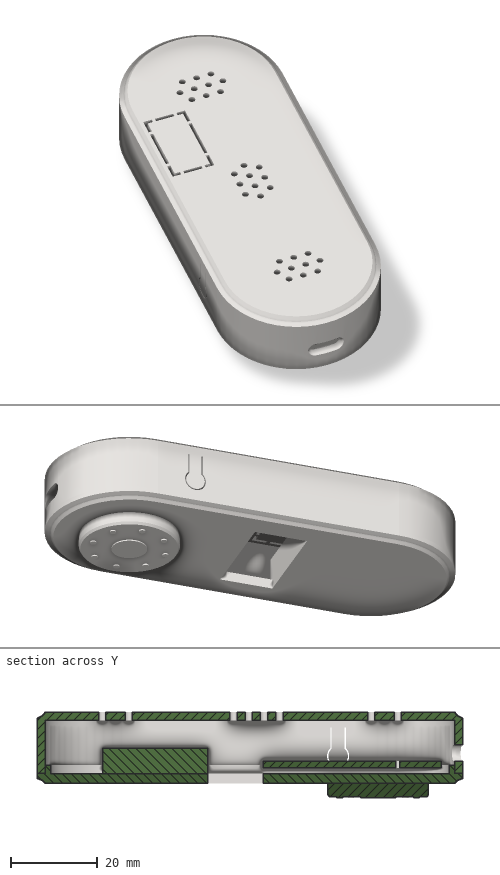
import cadquery as cq
import math

length = 98.0
width = 39.0
total_height = 19.9
end_radius = width / 2
straight_length = length - width

foot_height = 3.3
lid_height = 2.4
lid_bottom = foot_height
lid_top = lid_bottom + lid_height
housing_height = total_height - lid_top

bevel_inset = 2.0
bevel_mid_inset = 1.1
top_bevel_height = 1.5
top_bevel_mid_height = 0.93

lid_bevel_height = 1.2
lid_bevel_mid_height = 0.7
lid_bevel_mid_inset = 1.3

wall = 2.0
top_thickness = 2.0
cavity_height = housing_height - top_thickness

grille_hole_diameter = 1.6
grille_pitch = 3.5
grille_row_spacing = grille_pitch * math.sqrt(3) / 2
grille_row_counts = (3, 4, 3)
side_grille_x = 31.0
centre_grille_x = 1.5

window_x = -15.8
window_y = -11.5
window_length = 18.8
window_width = 10.3
window_slit = 0.8
bridge_width = 0.8
bridge_offset_x = 5.5
bridge_offset_y = 2.6

tongue_x = 20.3
tongue_slit = 0.3
tongue_neck_width = 3.5
tongue_pad_radius = 2.5
tongue_pad_z = total_height - 10.2
tongue_top_z = total_height - 3.6

connector_width = 8.8
connector_height = 3.7
connector_z = total_height - 9.5

lip_thickness = 1.2
lip_height = 2.0
opening_x_min = -9.7
opening_x_max = 3.0
opening_width = 23.7

foot_x = straight_length / 2
foot_radius = 11.7
foot_bevel_inset = 0.4
foot_bevel_height = 0.6
foot_face_z = 0.3
foot_centre_pad_diameter = 8.2
foot_pad_diameter = 1.5
foot_pad_count = 8
foot_pad_circle_radius = 8.8

battery_x_min = -34.0
battery_width = 26.1
battery_height = 5.9
board_x_max = 44.1
board_width = 11.0
board_thickness = 1.6
board_hole_diameter = 0.9


def stadium(inset, z):
    """Closed stadium wire, moved inward from the outer outline, at height z."""
    return cq.Workplane("XY", origin=(0, 0, z)).slot2D(length - 2 * inset, width - 2 * inset)


def stadium_block(inset, z, height):
    return stadium(inset, z).extrude(height)


def stadium_taper(lower_inset, upper_inset, z, height):
    """Stadium block whose side slopes from one inset to another."""
    slope = math.degrees(math.atan2(upper_inset - lower_inset, height))
    return stadium(lower_inset, z).extrude(height, taper=slope)


def grille_cutter(x, rows_along_y):
    """Round hole cutters of one grille centred at (x, 0)."""
    points = []
    for row, count in enumerate(grille_row_counts):
        across = (row - (len(grille_row_counts) - 1) / 2) * grille_row_spacing
        for i in range(count):
            along = (i - (count - 1) / 2) * grille_pitch
            points.append((x + across, along) if rows_along_y else (x + along, across))
    return (
        cq.Workplane("XY", origin=(0, 0, total_height - top_thickness))
        .pushPoints(points)
        .circle(grille_hole_diameter / 2)
        .extrude(top_thickness)
    )


def window_cutter():
    """Rectangular slit through the top, interrupted by two bridges per side."""
    plane = cq.Workplane("XY", origin=(window_x, window_y, total_height - top_thickness))
    slit = (
        plane.rect(window_length, window_width)
        .rect(window_length - 2 * window_slit, window_width - 2 * window_slit)
        .extrude(top_thickness)
    )
    for side in (-1, 1):
        across = plane.center(side * bridge_offset_x, 0).rect(bridge_width, window_width)
        slit = slit.cut(across.extrude(top_thickness))
        along = plane.center(0, side * bridge_offset_y).rect(window_length, bridge_width)
        slit = slit.cut(along.extrude(top_thickness))
    return slit


def keyhole(neck_width, pad_radius):
    """Keyhole prism through the full width of the housing."""
    neck_length = tongue_top_z - tongue_pad_z
    plane = cq.Workplane("XZ", origin=(tongue_x, end_radius, tongue_pad_z))
    neck = plane.center(0, neck_length / 2).rect(neck_width, neck_length).extrude(width)
    return neck.union(plane.circle(pad_radius).extrude(width))


def tongue_cutter():
    """Slit around the tongue, open at the top so that the tongue stays attached there."""
    outside = keyhole(tongue_neck_width, tongue_pad_radius)
    inside = keyhole(tongue_neck_width - 2 * tongue_slit, tongue_pad_radius - tongue_slit)
    return outside.cut(inside)


def connector_cutter():
    return (
        cq.Workplane("YZ", origin=(length / 2 - 2 * wall, 0, connector_z))
        .slot2D(connector_width, connector_height)
        .extrude(2 * wall)
    )


def make_housing():
    bevel_bottom = total_height - top_bevel_height
    bevel_middle = total_height - top_bevel_mid_height
    body = stadium_block(0, lid_top, bevel_bottom - lid_top)
    body = body.union(stadium_taper(0, bevel_mid_inset, bevel_bottom, bevel_middle - bevel_bottom))
    body = body.union(stadium_taper(bevel_mid_inset, bevel_inset, bevel_middle, top_bevel_mid_height))
    body = body.cut(stadium_block(wall, lid_top, cavity_height))
    for x in (-side_grille_x, side_grille_x):
        body = body.cut(grille_cutter(x, rows_along_y=True))
    body = body.cut(grille_cutter(centre_grille_x, rows_along_y=False))
    return body.cut(window_cutter()).cut(tongue_cutter()).cut(connector_cutter())


def make_lid():
    bevel_middle = lid_bottom + lid_bevel_mid_height
    bevel_top = lid_bottom + lid_bevel_height
    lid = stadium_block(0, bevel_top, lid_top - bevel_top)
    lid = lid.union(stadium_taper(lid_bevel_mid_inset, 0, bevel_middle, bevel_top - bevel_middle))
    lid = lid.union(stadium_taper(bevel_inset, lid_bevel_mid_inset, lid_bottom, lid_bevel_mid_height))
    lip = stadium_block(wall, lid_top, lip_height)
    lip = lip.cut(stadium_block(wall + lip_thickness, lid_top, lip_height))
    opening = (
        cq.Workplane("XY", origin=((opening_x_min + opening_x_max) / 2, 0, lid_bottom))
        .rect(opening_x_max - opening_x_min, opening_width)
        .extrude(lid_height)
    )
    return lid.union(lip).cut(opening)


def make_foot():
    """Round foot under the lid, with a central pad and a ring of small pads on its underside."""
    face_radius = foot_radius - foot_bevel_inset
    foot = (
        cq.Workplane("YZ", origin=(foot_x, 0, 0))
        .moveTo(0, foot_face_z)
        .lineTo(-face_radius, foot_face_z)
        .lineTo(-foot_radius, foot_face_z + foot_bevel_height)
        .lineTo(-foot_radius, foot_height)
        .lineTo(0, foot_height)
        .close()
        .revolve(360, (0, 0, 0), (0, 1, 0))
    )
    plane = cq.Workplane("XY", origin=(foot_x, 0, 0))
    centre_pad = plane.circle(foot_centre_pad_diameter / 2).extrude(foot_face_z)
    ring_pads = (
        plane.polarArray(foot_pad_circle_radius, 0, 360, foot_pad_count)
        .circle(foot_pad_diameter / 2)
        .extrude(foot_face_z)
    )
    return foot.union(centre_pad).union(ring_pads)


def make_battery():
    """Block resting on the lid, level with the left edge of the lid opening."""
    battery_length = opening_x_min - battery_x_min
    return (
        cq.Workplane("XY", origin=(battery_x_min + battery_length / 2, 0, lid_top))
        .rect(battery_length, battery_width)
        .extrude(battery_height)
    )


def make_board():
    """Circuit board just under the connector slot, with one small hole."""
    board_length = board_x_max - opening_x_max
    board_bottom = connector_z - connector_height / 2 - board_thickness
    board = (
        cq.Workplane("XY", origin=(opening_x_max + board_length / 2, 0, board_bottom))
        .rect(board_length, board_width)
        .extrude(board_thickness)
    )
    hole = (
        cq.Workplane("XY", origin=(side_grille_x + grille_row_spacing, 0, board_bottom))
        .circle(board_hole_diameter / 2)
        .extrude(board_thickness)
    )
    return board.cut(hole)


housing = make_housing()
lid = make_lid()
foot = make_foot()
battery = make_battery()
board = make_board()

result = cq.Compound.makeCompound(
    [housing.val(), lid.val(), foot.val(), battery.val(), board.val()]
)